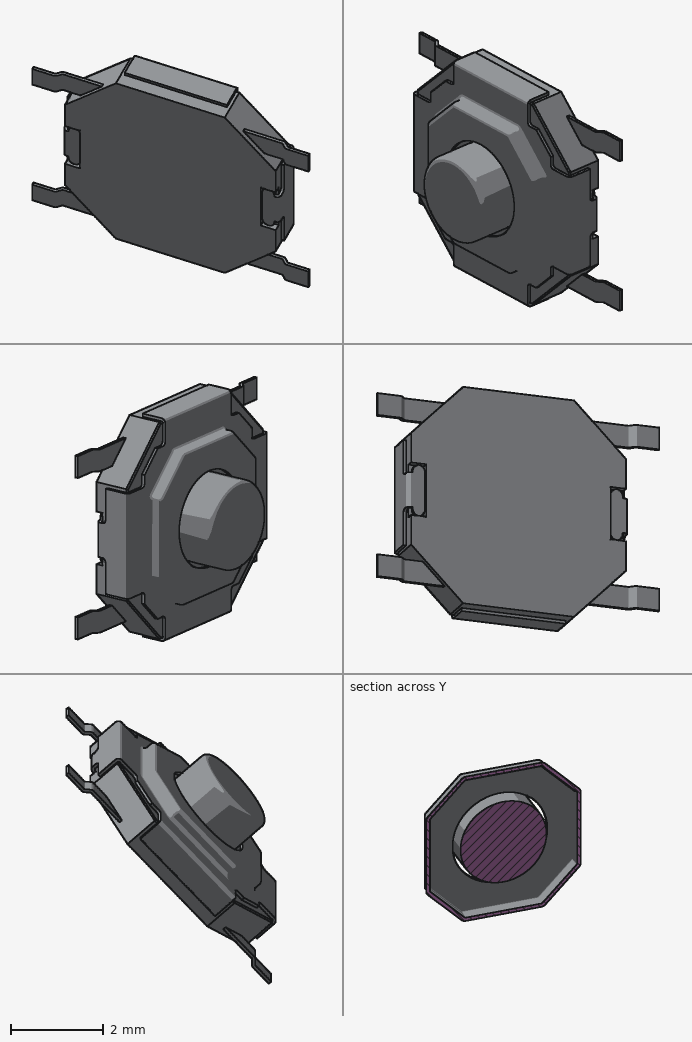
import cadquery as cq
import math


leg_span = 6.5
button_top = 2.0
cover_width = 5.1
sheet = 0.07
bend_inner = 0.025
bend_outer = bend_inner + sheet

cover_top = 0.905
tab_half_width = 1.2
tab_bottom = 0.3
flange_reach = 1.95
flange_corner = 1.475
flange_fillet = 0.08
dome_top = 1.2
dome_half_width = 1.75
dome_corner = 0.91
dome_corner_radius = 0.1
button_hole_diameter = 2.2

clip_neck_half_width = 0.395
clip_root_fillet = 0.1
clip_underside = 0.05
clip_foot_length = 1.165
clip_foot_width = 0.27
clip_foot_inner_edge = 2.145
clip_foot_fillet = 0.03

housing_half_width = cover_width / 2 - sheet
housing_top = cover_top - sheet
housing_corner = 1.28
housing_chamfer = 0.03
pocket_depth = 0.35
pocket_width = 1.2
pocket_height = 0.16

button_diameter = 2.0
button_fillet = 0.12

leg_width = 0.5
leg_center = 1.845
leg_rise = 0.12
leg_ramp_start = 2.705

mitre_ratio = math.tan(math.radians(45 / 2))


def octagon(half_width, corner):
    """Outline of a square with equal 45 degree corners."""
    a, b = half_width, corner
    return cq.Workplane("XY").polyline(
        [(a, -b), (a, b), (b, a), (-b, a), (-a, b), (-a, -b), (-b, -a), (b, -a)]
    ).close()


def box_between(x0, x1, half_width, z0, z1):
    return cq.Workplane("XY").box(x1 - x0, 2 * half_width, z1 - z0).translate(
        ((x0 + x1) / 2, 0, (z0 + z1) / 2)
    )


def fillet_edge_at(body, x, y, z, radius):
    """Round the one edge whose middle lies nearest to the point."""
    return body.edges(cq.selectors.NearestToPointSelector((x, y, z))).fillet(radius)


def make_housing():
    """Octagonal block with a pocket for each clip in the bottom of its X sides."""
    housing = octagon(housing_half_width, housing_corner).extrude(housing_top)
    housing = housing.faces(">Z").edges().chamfer(housing_chamfer)
    inner_edge = housing_half_width - pocket_depth
    pocket = box_between(inner_edge, housing_half_width, pocket_width / 2, 0, pocket_height)
    return housing.cut(pocket).cut(pocket.mirror("YZ"))


def make_button():
    """Plain plunger standing on the housing, with clearance in the cover's hole."""
    button = cq.Workplane("XY").circle(button_diameter / 2).extrude(button_top - housing_top)
    button = button.translate((0, 0, housing_top))
    return button.faces(">Z").edges().fillet(button_fillet)


def make_strap():
    """Strip across the cover with a tab bent down at each end."""
    half = cover_width / 2
    outside = box_between(-half, half, tab_half_width, tab_bottom, cover_top)
    outside = outside.edges("|Y and >Z").fillet(bend_outer)
    inside = box_between(-half + sheet, half - sheet, tab_half_width, tab_bottom, cover_top - sheet)
    inside = inside.edges("|Y and >Z").fillet(bend_inner)
    return outside.cut(inside)


def flange_plate(top):
    return octagon(flange_reach, flange_corner).extrude(sheet).translate((0, 0, top - sheet))


def make_flange():
    """Flat plate with diagonal corners and four tabs, one on each side."""
    strap = make_strap()
    plate = flange_plate(cover_top)
    flange = strap.union(strap.rotate((0, 0, 0), (0, 0, 1), 90)).union(plate)
    for x_side in (-1, 1):
        for y_side in (-1, 1):
            for x, y in ((flange_reach, tab_half_width), (tab_half_width, flange_reach)):
                flange = fillet_edge_at(flange, x_side * x, y_side * y, cover_top - sheet / 2, flange_fillet)
    return flange


def dome_block(inset, corner_radius, top_radius, foot_radius):
    """Dome on a slab; inset moves the dome's faces inwards and the slab down by that distance."""
    base = cover_top - inset
    slab = flange_plate(base)
    block = octagon(dome_half_width - inset, dome_corner - inset * mitre_ratio).extrude(dome_top - cover_top)
    block = block.edges("|Z").fillet(corner_radius).translate((0, 0, base))
    block = block.faces(">Z").edges().fillet(top_radius)
    dome = slab.union(block)
    slab_face = next(face for face in dome.faces("+Z").vals() if face.innerWires())
    foot_edges = slab_face.innerWires()[0].Edges()
    return dome.newObject(foot_edges).fillet(foot_radius)


def make_clip():
    """Tongue below the +X tab, bent under the housing and ending in a round-ended foot."""
    outer_face = cover_width / 2
    foot_center = clip_foot_inner_edge + clip_foot_width / 2
    foot_edge = clip_foot_inner_edge + clip_foot_width
    foot_upper = clip_underside + sheet
    neck = box_between(foot_center, outer_face, clip_neck_half_width, clip_underside, tab_bottom)
    neck = neck.edges("|Y and >X and <Z").fillet(bend_outer)
    hollow = box_between(foot_center, outer_face - sheet, clip_neck_half_width, foot_upper, tab_bottom)
    hollow = hollow.edges("|Y and >X and <Z").fillet(bend_inner)
    foot = cq.Workplane("XY").workplane(offset=clip_underside).center(foot_center, 0)
    foot = foot.slot2D(clip_foot_length, clip_foot_width, 90).extrude(sheet)
    clip = neck.cut(hollow).union(foot)
    for side in (-1, 1):
        y = side * clip_neck_half_width
        clip = fillet_edge_at(clip, foot_edge, y, clip_underside + sheet / 2, clip_foot_fillet)
    return clip


def make_cover():
    clip = make_clip()
    cover = make_flange().union(clip).union(clip.mirror("YZ"))
    tab_middle = (cover_width - sheet) / 2
    for x_side in (-1, 1):
        for y_side in (-1, 1):
            x = x_side * tab_middle
            y = y_side * clip_neck_half_width
            cover = fillet_edge_at(cover, x, y, tab_bottom, clip_root_fillet)
    outer_dome = dome_block(0, dome_corner_radius, bend_outer, bend_outer)
    inner_dome = dome_block(sheet, dome_corner_radius - sheet, bend_inner, bend_outer + sheet)
    hole = cq.Workplane("XY").circle(button_hole_diameter / 2).extrude(button_top)
    return cover.union(outer_dome).cut(inner_dome).cut(hole)


def make_leg():
    """Leg at the +X, +Y corner, from the soldered foot up to the housing's diagonal side."""
    ramp_end = leg_ramp_start - leg_rise
    mitre = sheet * mitre_ratio
    bends = [
        (leg_ramp_start, 0, bend_outer),
        (ramp_end, leg_rise, bend_inner),
        (ramp_end + mitre, leg_rise + sheet, bend_outer),
        (leg_ramp_start + mitre, sheet, bend_inner),
    ]
    corners = [(x, z) for x, z, _ in bends]
    inner_end = [(0, leg_rise), (0, leg_rise + sheet)]
    foot_end = [(leg_span / 2, sheet), (leg_span / 2, 0)]
    outline = corners[:2] + inner_end + corners[2:] + foot_end
    leg = cq.Workplane("XZ").polyline(outline).close().extrude(leg_width / 2, both=True)
    for x, z, radius in bends:
        leg = fillet_edge_at(leg, x, 0, z, radius)
    housing_prism = octagon(housing_half_width, housing_corner).extrude(housing_top)
    return leg.translate((0, leg_center, 0)).cut(housing_prism)


def turn(body):
    """Turn a body from its base-down position so that its height runs along +Y."""
    return body.rotate((0, 0, 0), (1, 0, 0), -90).val()


housing = make_housing()
cover = make_cover()
button = make_button()
leg = make_leg()
legs = []
for right_leg in (leg, leg.mirror("XZ")):
    legs.extend([right_leg, right_leg.mirror("YZ")])

result = cq.Compound.makeCompound([turn(body) for body in (housing, cover, button, *legs)])